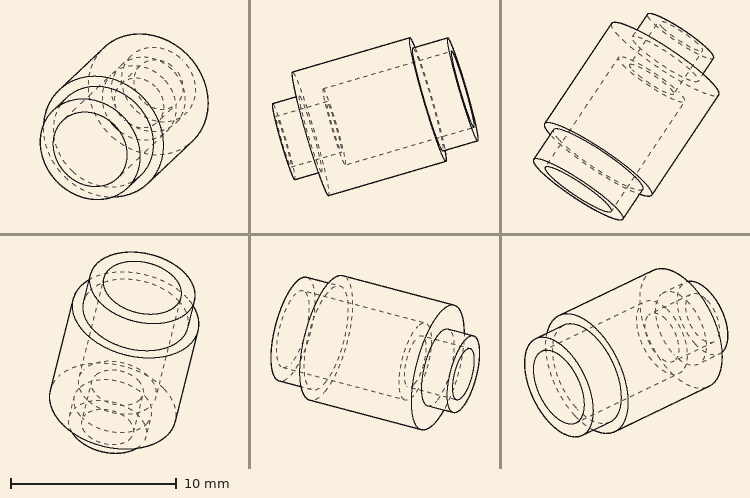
import cadquery as cq

total_length = 11.3
front_length = 2.2
rear_length = 1.7
body_length = total_length - front_length - rear_length

body_diameter = 7.8
front_diameter = 6.5
rear_diameter = 4.8
bore_diameter = rear_diameter
hole_diameter = 3.2

floor_thickness = (body_diameter - bore_diameter) / 2
bore_depth = front_length + body_length - floor_thickness

front_y = -total_length / 2
body_y = front_y + front_length
rear_y = body_y + body_length


def cylinder_along_y(diameter, start_y, length):
    """Solid cylinder on the Y axis, running from start_y toward +Y."""
    return cq.Workplane("XZ", origin=(0, start_y, 0)).circle(diameter / 2).extrude(-length)


front_spigot = cylinder_along_y(front_diameter, front_y, front_length)
body = cylinder_along_y(body_diameter, body_y, body_length)
rear_spigot = cylinder_along_y(rear_diameter, rear_y, rear_length)

socket = cylinder_along_y(bore_diameter, front_y, bore_depth)
through_hole = cylinder_along_y(hole_diameter, front_y, total_length)

result = front_spigot.union(body).union(rear_spigot).cut(socket).cut(through_hole)